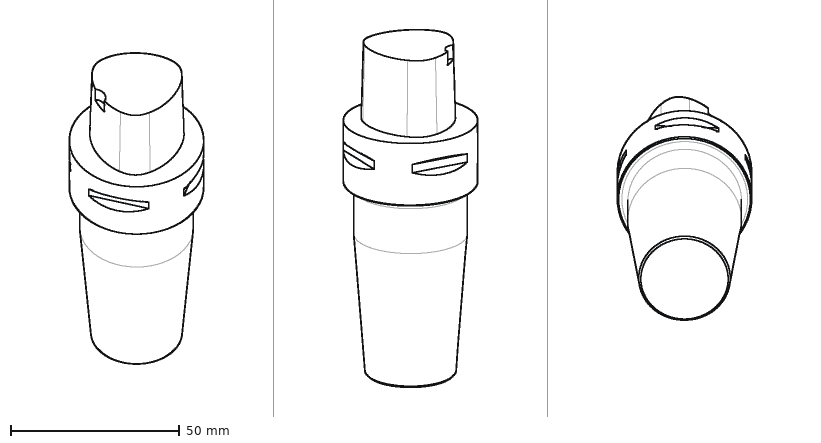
import cadquery as cq
import math

total_length = 104.0
shank_length = 24.0
collar_height = 20.0
cone_height = 44.0
shoulder_z = total_length - shank_length
collar_bottom_z = shoulder_z - collar_height

collar_radius = 40.0 / 2
neck_radius = 33.9 / 2
nose_radius = 13.6
collar_chamfer = 0.4
nose_chamfer = 0.6
neck_fillet = 1.8

shank_base_radius = 14.0
shank_top_radius = 13.4
lobe_eccentricity = 0.9
face_count = 6

keyway_radius = 3.5
keyway_depth = 4.3
keyway_center_y = -14.4

groove_count = 4
groove_center_z = 72.0
groove_floor_distance = 17.7
groove_floor_width = 2.6
groove_wall_angle = 30.0


def turned_body():
    """Collar, neck and tapered nose as one revolved profile."""
    profile = (
        cq.Workplane("XZ")
        .lineTo(nose_radius - nose_chamfer, 0)
        .lineTo(nose_radius, nose_chamfer)
        .lineTo(neck_radius, cone_height)
        .lineTo(neck_radius, collar_bottom_z - neck_fillet)
        .radiusArc((neck_radius + neck_fillet, collar_bottom_z), neck_fillet)
        .lineTo(collar_radius - collar_chamfer, collar_bottom_z)
        .lineTo(collar_radius, collar_bottom_z + collar_chamfer)
        .lineTo(collar_radius, shoulder_z)
        .lineTo(0, shoulder_z)
        .close()
    )
    return profile.revolve(360, (0, 0, 0), (0, 1, 0))


def lobed_point(mean_radius, angle, z):
    """Point on the three-lobed curve; angle 0 is the middle of the flank facing -Y."""
    e = lobe_eccentricity
    outward = mean_radius * math.cos(angle) - 2 * e * math.cos(2 * angle) + e * math.cos(4 * angle)
    sideways = mean_radius * math.sin(angle) + 2 * e * math.sin(2 * angle) + e * math.sin(4 * angle)
    return cq.Vector(sideways, -outward, z)


def lobed_wire(mean_radius, z):
    """Closed outline made of three flanks alternating with three lobes."""
    face_angle = 2 * math.pi / face_count
    steps = 8
    edges = []
    for face in range(face_count):
        start = (face - 0.5) * face_angle
        points = [lobed_point(mean_radius, start + face_angle * i / steps, z) for i in range(steps + 1)]
        edges.append(cq.Edge.makeSpline(points))
    return cq.Wire.assembleEdges(edges)


def shank():
    """Tapered lobed shank with a round keyway in its -Y flank."""
    base = lobed_wire(shank_base_radius, shoulder_z)
    top = lobed_wire(shank_top_radius, total_length)
    taper = cq.Workplane(cq.Solid.makeLoft([base, top], True))
    keyway = (
        cq.Workplane("XY", origin=(0, keyway_center_y, total_length - keyway_depth))
        .circle(keyway_radius)
        .extrude(keyway_depth)
    )
    return taper.cut(keyway)


def gripper_groove():
    """Straight groove across the +X side of the collar, widening outwards."""
    depth = collar_radius - groove_floor_distance
    half_floor = groove_floor_width / 2
    half_mouth = half_floor + depth * math.tan(math.radians(groove_wall_angle))
    return (
        cq.Workplane("XZ")
        .moveTo(groove_floor_distance, groove_center_z - half_floor)
        .lineTo(collar_radius, groove_center_z - half_mouth)
        .lineTo(collar_radius, groove_center_z + half_mouth)
        .lineTo(groove_floor_distance, groove_center_z + half_floor)
        .close()
        .extrude(collar_radius, both=True)
    )


result = turned_body().union(shank())

groove_spacing = 360 / groove_count
for index in range(groove_count):
    groove_angle = (index + 0.5) * groove_spacing
    result = result.cut(gripper_groove().rotate((0, 0, 0), (0, 0, 1), groove_angle))